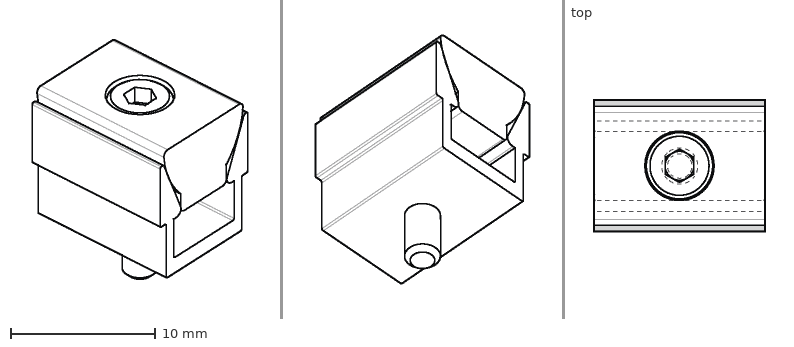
import cadquery as cq
import math

housing_length = 11.89
housing_width = 9.14
base_width = 7.89
channel_width = 6.28
floor_thickness = 1.31
jaw_bottom_z = 4.59
jaw_top_z = 9.66
jaw_mouth_half_width = 4.20
jaw_angle = 22.0
jaw_nose_radius = 0.5
edge_radius = 0.13

wedge_length = 11.80
wedge_bottom_z = 4.71
wedge_top_z = 10.70
wedge_neck_top_z = 6.30
flank_radius = 6.7
flank_contact_z = 8.32
wedge_edge_radius = 0.4

shank_diameter = 2.5
screw_tip_z = -4.22
tip_chamfer = 0.4
head_diameter = 4.6
head_height = 2.5
head_chamfer = 0.25
head_recess = 0.1
counterbore_diameter = 4.8
socket_across_flats = 2.0
socket_depth = 1.25
socket_turn = 30.0
socket_cone_angle = 120.0

head_top_z = wedge_top_z - head_recess
head_seat_z = head_top_z - head_height


def jaw_half_width(z):
    """Distance of the sloped clamping face from the mid-plane at height z."""
    return jaw_mouth_half_width - (jaw_top_z - z) * math.tan(math.radians(jaw_angle))


def flank_half_width(z):
    """Distance of the wedge's bulged flank, tangent to the jaw face, at height z."""
    slope = math.radians(jaw_angle)
    centre_y = jaw_half_width(flank_contact_z) - flank_radius * math.cos(slope)
    centre_z = flank_contact_z + flank_radius * math.sin(slope)
    return centre_y + math.sqrt(flank_radius ** 2 - (z - centre_z) ** 2)


def cylinder(diameter, bottom_z, top_z):
    """Upright cylinder on the screw axis."""
    disc = cq.Workplane("XY").workplane(offset=bottom_z).circle(diameter / 2)
    return disc.extrude(top_z - bottom_z)


def edges_at(body, half_width, z):
    """Lengthwise edges at (+half_width, z) and (-half_width, z)."""
    reach = 0.02
    boxes = []
    for y in (-half_width, half_width):
        low = (-reach, y - reach, z - reach)
        high = (reach, y + reach, z + reach)
        boxes.append(cq.selectors.BoxSelector(low, high))
    return body.edges(boxes[0] + boxes[1])


def make_housing():
    right_side = [
        (base_width / 2, 0),
        (base_width / 2, jaw_bottom_z),
        (housing_width / 2, jaw_bottom_z),
        (housing_width / 2, jaw_top_z),
        (jaw_mouth_half_width, jaw_top_z),
        (jaw_half_width(jaw_bottom_z), jaw_bottom_z),
        (channel_width / 2, jaw_bottom_z),
        (channel_width / 2, floor_thickness),
    ]
    left_side = [(-y, z) for y, z in reversed(right_side)]
    profile = cq.Workplane("YZ").polyline(right_side + left_side).close()
    body = profile.extrude(housing_length / 2, both=True)

    nose_corner = (jaw_half_width(jaw_bottom_z), jaw_bottom_z)
    body = edges_at(body, *nose_corner).fillet(jaw_nose_radius)
    small_corners = [
        (base_width / 2, 0),
        (base_width / 2, jaw_bottom_z),
        (housing_width / 2, jaw_bottom_z),
        (housing_width / 2, jaw_top_z),
        (jaw_mouth_half_width, jaw_top_z),
        (channel_width / 2, floor_thickness),
    ]
    for corner in small_corners:
        body = edges_at(body, *corner).fillet(edge_radius)
    return body.cut(cylinder(shank_diameter, 0, floor_thickness))


def make_wedge():
    neck = flank_half_width(wedge_neck_top_z)
    top = flank_half_width(wedge_top_z)
    middle = flank_half_width(flank_contact_z)
    profile = (
        cq.Workplane("YZ")
        .moveTo(-neck, wedge_bottom_z)
        .lineTo(neck, wedge_bottom_z)
        .lineTo(neck, wedge_neck_top_z)
        .threePointArc((middle, flank_contact_z), (top, wedge_top_z))
        .lineTo(-top, wedge_top_z)
        .threePointArc((-middle, flank_contact_z), (-neck, wedge_neck_top_z))
        .close()
    )
    body = profile.extrude(wedge_length / 2, both=True)
    for corner in [(neck, wedge_bottom_z), (top, wedge_top_z)]:
        body = edges_at(body, *corner).fillet(wedge_edge_radius)
    body = body.cut(cylinder(counterbore_diameter, head_seat_z, wedge_top_z))
    return body.cut(cylinder(shank_diameter, wedge_bottom_z, head_seat_z))


def make_screw():
    shank = cylinder(shank_diameter, screw_tip_z, head_seat_z)
    shank = shank.faces("<Z").chamfer(tip_chamfer)
    head = cylinder(head_diameter, head_seat_z, head_top_z)
    head = head.faces(">Z").chamfer(head_chamfer)

    socket_floor_z = head_top_z - socket_depth
    across_corners = socket_across_flats / math.cos(math.pi / 6)
    socket = (
        cq.Workplane("XY", origin=(0, 0, socket_floor_z))
        .transformed(rotate=(0, 0, socket_turn))
        .polygon(6, across_corners)
        .extrude(socket_depth)
    )
    cone_radius = socket_across_flats / 2
    cone_depth = cone_radius / math.tan(math.radians(socket_cone_angle / 2))
    cone = cq.Workplane(cq.Solid.makeCone(
        cone_radius, 0, cone_depth,
        pnt=cq.Vector(0, 0, socket_floor_z), dir=cq.Vector(0, 0, -1)))
    return shank.union(head).cut(socket).cut(cone)


housing = make_housing()
wedge = make_wedge()
screw = make_screw()
result = cq.Compound.makeCompound([housing.val(), wedge.val(), screw.val()])